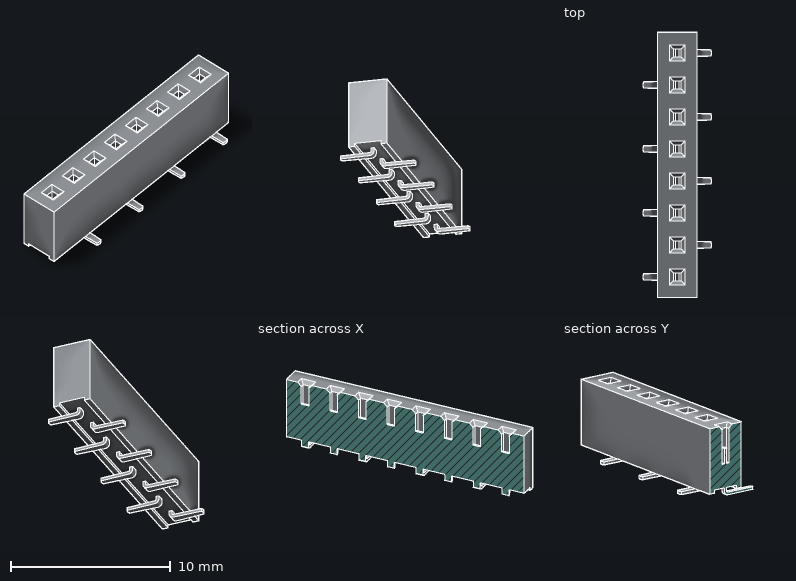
import cadquery as cq

pin_count = 8
pitch = 2.0
body_width = 2.5
body_length = 16.6
part_height = 4.6
standoff = 0.3
foot_rail_width = 0.4
channel_depth = 0.2

socket_mouth = 1.0
socket_bore = 0.5
funnel_depth = 0.25
socket_depth = 2.5
blade_height = 1.0

contact_width = 0.5
sheet_thickness = 0.2
tail_span = 4.3
inner_bend_radius = 0.1
tip_width = 0.4
tip_bulge = 0.05

overlap = 0.1

tail_reach = tail_span / 2
outer_bend_radius = inner_bend_radius + sheet_thickness
bend_end = sheet_thickness / 2 + inner_bend_radius
channel_top = standoff + channel_depth
socket_floor = part_height - socket_depth
first_pin_y = -pitch * (pin_count - 1) / 2


def make_housing():
    """Rectangular block with a channel along its underside."""
    block = cq.Workplane("XY").workplane(offset=standoff).rect(body_width, body_length)
    block = block.extrude(part_height - standoff)
    channel = cq.Workplane("XY").workplane(offset=standoff)
    channel = channel.rect(body_width - 2 * foot_rail_width, body_length).extrude(channel_depth)
    return block.cut(channel)


def make_socket(y):
    """Square funnel leading into a blind square bore."""
    funnel = (
        cq.Workplane("XY", origin=(0, y, part_height))
        .rect(socket_mouth, socket_mouth)
        .workplane(offset=-funnel_depth)
        .rect(socket_bore, socket_bore)
        .loft(ruled=True)
    )
    bore = cq.Workplane("XY", origin=(0, y, socket_floor))
    bore = bore.rect(socket_bore, socket_bore).extrude(socket_depth - funnel_depth)
    return funnel.union(bore)


def make_blade(y):
    """Thin upright contact inside a socket, rooted in its floor."""
    blade = cq.Workplane("XY", origin=(0, y, socket_floor - overlap))
    return blade.rect(sheet_thickness, contact_width).extrude(blade_height + overlap)


def make_bend(y):
    """Stem below the housing, curving outward toward +X until it lies flat."""
    half_stem = sheet_thickness / 2
    stem_top = channel_top + overlap
    return (
        cq.Workplane("XZ", origin=(0, y + contact_width / 2, 0))
        .moveTo(-half_stem, stem_top)
        .lineTo(-half_stem, outer_bend_radius)
        .radiusArc((bend_end, 0), -outer_bend_radius)
        .lineTo(bend_end, sheet_thickness)
        .radiusArc((half_stem, sheet_thickness + inner_bend_radius), inner_bend_radius)
        .lineTo(half_stem, stem_top)
        .close()
        .extrude(contact_width)
    )


def make_tail(y):
    """Flat solder tail toward +X, tapering in plan to a rounded tip."""
    shoulder_x = tail_reach - tip_bulge
    return (
        cq.Workplane("XY", origin=(0, y, 0))
        .moveTo(bend_end, -contact_width / 2)
        .lineTo(shoulder_x, -tip_width / 2)
        .threePointArc((tail_reach, 0), (shoulder_x, tip_width / 2))
        .lineTo(bend_end, contact_width / 2)
        .close()
        .extrude(sheet_thickness)
    )


def make_foot(y, side):
    """Bend and tail of one contact, pointing to +X (side = 1) or -X (side = -1)."""
    foot = make_bend(y).union(make_tail(y))
    if side < 0:
        foot = foot.mirror("YZ")
    return foot


result = make_housing()
for index in range(pin_count):
    pin_y = first_pin_y + index * pitch
    tail_side = 1 if index % 2 else -1
    result = result.cut(make_socket(pin_y))
    result = result.union(make_blade(pin_y))
    result = result.union(make_foot(pin_y, tail_side))